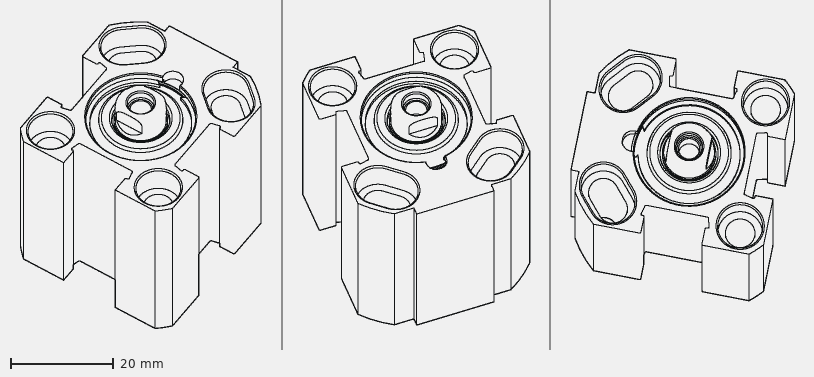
import cadquery as cq
import math


housing_height = 37.0
half_width = 17.99
back_y = 20.4
pad_y = 22.015
pad_half_width = 8.1
corner_diameter = 47.55

groove_half_width = 6.1
groove_neck_depth = 3.6
groove_hook_half_width = 6.85
groove_floor_half_width = 6.3
groove_depth = 5.75
groove_fillet = 0.3

bolt_offset = 12.75
bolt_diameter = 5.8
counterbore_diameter = 8.8
counterbore_depth = 5.8
counterbore_chamfer = 0.35
slot_shift_x = 2.82
slot_shift_y = 2.4

bore_diameter = 21.6
bore_chamfer = 0.2
bore_depth = 12.45
ring_groove_diameter = 22.8
ring_groove_top = -1.5
ring_top = -1.75
ring_thickness = 0.8
ring_bottom = ring_top - ring_thickness
notch_diameter = 4.15
notch_y = 11.25
notch_depth = 2.4

ring_inner_diameter = 20.0
ring_gap_angle = 14.7
ring_gap_turn = -2.7
ring_gap_flare = 55

boss_diameter = 16.5
boss_top = -0.37
boss_chamfer_width = 0.55
boss_chamfer_height = 0.5
boss_root_fillet = 0.35
rod_diameter = 10.0
seal_diameter = 11.4
mouth_chamfer = 0.45

seal_bottom = -4.15
seal_shoulder = -2.08
seal_lip_top = -1.25
seal_lip_diameter = 10.5

rod_top = 4.5
rod_fillet = 1.3
flat_distance = 8.0
flat_bottom = 1.0
thread_diameter = 5.25
thread_depth = 1.8
thread_chamfer = 0.27
drill_diameter = 4.15
drill_depth = 6.22


def cylinder(diameter, bottom, top):
    return cq.Workplane("XY").workplane(offset=bottom).circle(diameter / 2).extrude(top - bottom)


def cone(bottom_diameter, top_diameter, bottom, top):
    profile = [(0, bottom), (bottom_diameter / 2, bottom), (top_diameter / 2, top), (0, top)]
    return cq.Workplane("XZ").polyline(profile).close().revolve(360, (0, 0), (0, 1))


def housing_block():
    outline = [
        (-half_width, -half_width),
        (half_width, -half_width),
        (half_width, back_y),
        (pad_half_width, back_y),
        (pad_half_width, pad_y),
        (-pad_half_width, pad_y),
        (-pad_half_width, back_y),
        (-half_width, back_y),
    ]
    block = cq.Workplane("XY").polyline(outline).close().extrude(-housing_height)
    return block.intersect(cylinder(corner_diameter, -housing_height, 0))


def sensor_groove(angle):
    """Undercut groove along Z; at angle 0 it opens toward -Y."""
    neck_y = groove_neck_depth - half_width
    floor_y = groove_depth - half_width
    half = [
        (groove_half_width, -half_width),
        (groove_half_width, neck_y),
        (groove_hook_half_width, neck_y),
        (groove_floor_half_width, floor_y),
    ]
    mirrored = [(-x, y) for x, y in reversed(half)]
    groove = cq.Workplane("XY").polyline(half + mirrored).close().extrude(-housing_height)
    groove = groove.edges("|Z and (not <Y)").fillet(groove_fillet)
    return groove.rotate((0, 0, 0), (0, 0, 1), angle)


def round_side_corners(body):
    """Round the outer corners of the grooves that open toward -X and +X."""
    for side in (-1, 1):
        for end in (-1, 1):
            corner = (side * half_width, end * groove_half_width, -housing_height / 2)
            body = body.edges(cq.selectors.NearestToPointSelector(corner)).fillet(groove_fillet)
    return body


def stepped_hole(x, y):
    through = cylinder(bolt_diameter, -housing_height, 0)
    counterbore = cylinder(counterbore_diameter, -counterbore_depth, 0)
    rim = cone(counterbore_diameter, counterbore_diameter + 2 * counterbore_chamfer, -counterbore_chamfer, 0)
    return through.union(counterbore).union(rim).translate((x, y, 0))


def stepped_slot(side):
    """Slot leaning toward the rod axis; side is -1 for -X and +1 for +X."""
    length = math.hypot(slot_shift_x, slot_shift_y)
    angle = math.degrees(math.atan2(slot_shift_y, -side * slot_shift_x))
    centre = (side * (bolt_offset - slot_shift_x / 2), bolt_offset + slot_shift_y / 2)
    rim_diameter = counterbore_diameter + 2 * counterbore_chamfer

    def slot(diameter, depth):
        return cq.Workplane("XY").center(*centre).slot2D(length + diameter, diameter, angle).extrude(-depth)

    rim = cq.Workplane("XY").center(*centre).slot2D(length + rim_diameter, rim_diameter, angle)
    rim = rim.extrude(-counterbore_chamfer, taper=45)
    return slot(bolt_diameter, housing_height).union(slot(counterbore_diameter, counterbore_depth)).union(rim)


def make_housing():
    body = housing_block()
    for angle in (0, 90, -90):
        body = body.cut(sensor_groove(angle))
    body = round_side_corners(body)
    for side in (-1, 1):
        body = body.cut(stepped_hole(side * bolt_offset, -bolt_offset))
        body = body.cut(stepped_slot(side))
    body = body.cut(cylinder(bore_diameter, -bore_depth, 0))
    for edge_z in (0, ring_bottom):
        body = body.cut(cone(bore_diameter, bore_diameter + 2 * bore_chamfer, edge_z - bore_chamfer, edge_z))
    body = body.cut(cylinder(ring_groove_diameter, ring_bottom, ring_groove_top))
    return body.cut(cylinder(notch_diameter, -notch_depth, 0).translate((0, notch_y, 0)))


def make_ring():
    ring = cylinder(ring_groove_diameter, ring_bottom, ring_top)
    ring = ring.cut(cylinder(ring_inner_diameter, ring_bottom, ring_top))
    inner_radius = ring_inner_diameter / 2
    gap_x = inner_radius * math.sin(math.radians(ring_gap_angle))
    gap_y = inner_radius * math.cos(math.radians(ring_gap_angle))
    outer_y = ring_groove_diameter / 2
    outer_x = gap_x + (outer_y - gap_y) * math.tan(math.radians(ring_gap_flare))
    gap = [(0, 0), (gap_x, gap_y), (outer_x, outer_y), (-outer_x, outer_y), (-gap_x, gap_y)]
    opening = cq.Workplane("XY").workplane(offset=ring_bottom).polyline(gap).close().extrude(ring_thickness)
    return ring.cut(opening.rotate((0, 0, 0), (0, 0, 1), ring_gap_turn))


def make_collar():
    boss = cylinder(boss_diameter, ring_bottom, boss_top)
    body = cylinder(bore_diameter, -bore_depth, ring_bottom).union(boss)
    shoulder = body.faces(cq.selectors.NearestToPointSelector((0, 0, ring_bottom)))
    body = shoulder.edges(cq.selectors.RadiusNthSelector(0)).fillet(boss_root_fillet)
    body = body.faces(">Z").edges().chamfer(boss_chamfer_height, boss_chamfer_width)
    body = body.cut(cylinder(rod_diameter, -bore_depth, boss_top))
    body = body.cut(cylinder(seal_diameter, seal_bottom, boss_top))
    return body.cut(cone(seal_diameter, seal_diameter + 2 * mouth_chamfer, boss_top - mouth_chamfer, boss_top))


def make_seal():
    base = cylinder(seal_diameter, seal_bottom, seal_shoulder)
    lip = cylinder(seal_lip_diameter, seal_bottom, seal_lip_top)
    return base.union(lip).cut(cylinder(rod_diameter, seal_bottom, seal_lip_top))


def wrench_flat(side):
    flat_y = flat_distance / 2
    reach = rod_diameter
    profile = [
        (side * flat_y, rod_top),
        (side * flat_y, flat_bottom),
        (side * (flat_y + reach), flat_bottom - reach),
        (side * (flat_y + reach), rod_top),
    ]
    return cq.Workplane("YZ").polyline(profile).close().extrude(rod_diameter / 2, both=True)


def make_rod():
    rod = cylinder(rod_diameter, -bore_depth, rod_top).faces(">Z").edges().fillet(rod_fillet)
    for side in (-1, 1):
        rod = rod.cut(wrench_flat(side))
    thread_bottom = rod_top - thread_depth
    shelf_z = thread_bottom - thread_chamfer
    shelf_diameter = thread_diameter - 2 * thread_chamfer
    mouth_z = rod_top - thread_chamfer
    rod = rod.cut(cone(thread_diameter, thread_diameter + 2 * thread_chamfer, mouth_z, rod_top))
    rod = rod.cut(cylinder(thread_diameter, thread_bottom, rod_top))
    rod = rod.cut(cone(shelf_diameter, thread_diameter, shelf_z, thread_bottom))
    return rod.cut(cylinder(drill_diameter, rod_top - drill_depth, rod_top))


housing = make_housing()
ring = make_ring()
collar = make_collar()
seal = make_seal()
rod = make_rod()

result = cq.Compound.makeCompound([housing.val(), ring.val(), collar.val(), seal.val(), rod.val()])